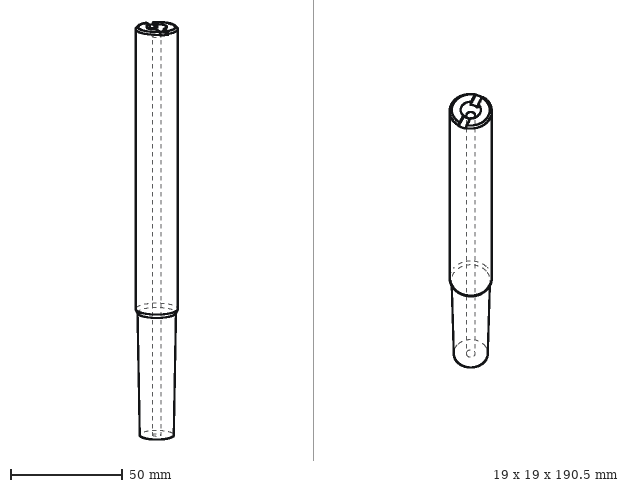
import cadquery as cq
import math

total_length = 190.5
body_diameter = 19.04

shank_length = 57.1
shank_bottom_diameter = 15.4
shank_half_angle = 1.0

shoulder_height = 1.8

top_chamfer = 1.0
bore_diameter = 4.0
countersink_diameter = 9.1
countersink_half_angle = 30.0
slot_width = 3.5
slot_depth = 1.4

body_radius = body_diameter / 2
bore_radius = bore_diameter / 2
countersink_radius = countersink_diameter / 2
countersink_depth = (countersink_radius - bore_radius) / math.tan(math.radians(countersink_half_angle))
shank_bottom_radius = shank_bottom_diameter / 2
shank_top_radius = shank_bottom_radius + shank_length * math.tan(math.radians(shank_half_angle))


def revolve_about_z(outline):
    """Turn a half outline of (radius, height) points into a solid of revolution."""
    return cq.Workplane("XZ").polyline(outline).close().revolve(360, (0, 0), (0, 1))


def turned_blank():
    """Shank, shoulder and body with its chamfered upper edge."""
    return revolve_about_z([
        (0, 0),
        (shank_bottom_radius, 0),
        (shank_top_radius, shank_length),
        (body_radius, shank_length + shoulder_height),
        (body_radius, total_length - top_chamfer),
        (body_radius - top_chamfer, total_length),
        (0, total_length),
    ])


def centre_hole():
    """Through bore with a conical countersink opening at the upper face."""
    return revolve_about_z([
        (0, 0),
        (bore_radius, 0),
        (bore_radius, total_length - countersink_depth),
        (countersink_radius, total_length),
        (0, total_length),
    ])


def driving_slot():
    """Straight slot along X across the full upper face."""
    return (
        cq.Workplane("XY")
        .workplane(offset=total_length - slot_depth)
        .rect(body_diameter, slot_width)
        .extrude(slot_depth)
    )


result = turned_blank().cut(centre_hole()).cut(driving_slot())